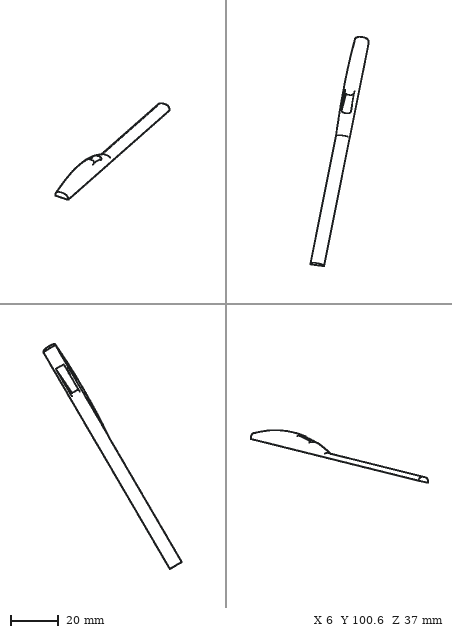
import cadquery as cq
import math

width = 6.0
length = 100.6
height = 37.0
edge_radius = 2.5

tip_length = 3.0
tip_thickness = 3.0
arch_radius = 60.4
arch_reach = 44.3

tail_thickness = 2.1
tail_overlap_start = 42.3

channel_size = 3.9
channel_floor = 27.3

underside_start = height - tip_thickness


def find_underside_slope():
    """Slope for which the tail's upper corner, set back by its thickness, ends at the full length."""
    refinements = 5
    slope = 0
    for _ in range(refinements):
        slope = math.atan2(underside_start, length - tail_thickness * math.sin(slope))
    return slope


underside_slope = find_underside_slope()
underside_length = underside_start / math.sin(underside_slope)


def on_slope(along, above):
    """Point (y, z) at a distance along the underside and square to it."""
    c = math.cos(underside_slope)
    s = math.sin(underside_slope)
    return (along * c + above * s, underside_start - along * s + above * c)


def extrude_width(profile):
    return profile.close().extrude(width / 2, both=True)


def on_arch(angle):
    """Point (y, z) on the arch, with the angle measured from its crest."""
    return (
        tip_length + arch_radius * math.sin(angle),
        height - arch_radius * (1 - math.cos(angle)),
    )


def make_head():
    end_angle = math.asin(arch_reach / arch_radius)
    end = on_arch(end_angle)
    head = extrude_width(
        cq.Workplane("YZ")
        .moveTo(0, 0)
        .lineTo(0, height)
        .lineTo(tip_length, height)
        .threePointArc(on_arch(end_angle / 2), end)
        .lineTo(end[0], 0)
    )
    return head.edges("|Y").edges(">Z").fillet(edge_radius)


def make_tail():
    depth = -2 * edge_radius
    tail = extrude_width(
        cq.Workplane("YZ").polyline([
            on_slope(tail_overlap_start, depth),
            on_slope(tail_overlap_start, tail_thickness),
            on_slope(underside_length, tail_thickness),
            on_slope(underside_length, depth),
        ])
    )
    upward = (0, math.sin(underside_slope), math.cos(underside_slope))
    along = (0, math.cos(underside_slope), -math.sin(underside_slope))
    top = tail.faces(cq.selectors.DirectionMinMaxSelector(cq.Vector(*upward), True))
    return top.edges(cq.selectors.ParallelDirSelector(cq.Vector(*along))).fillet(edge_radius)


def make_space_above_underside():
    return extrude_width(
        cq.Workplane("YZ").polyline([
            on_slope(-length, 0),
            on_slope(2 * length, 0),
            on_slope(2 * length, length),
            on_slope(-length, length),
        ])
    )


space_above = make_space_above_underside()
head = make_head().intersect(space_above)
tail = make_tail().intersect(space_above)
channel = cq.Workplane("XY").box(channel_size, length, channel_size, centered=(True, False, False))
channel = channel.translate((0, 0, channel_floor))

result = head.union(tail).cut(channel)